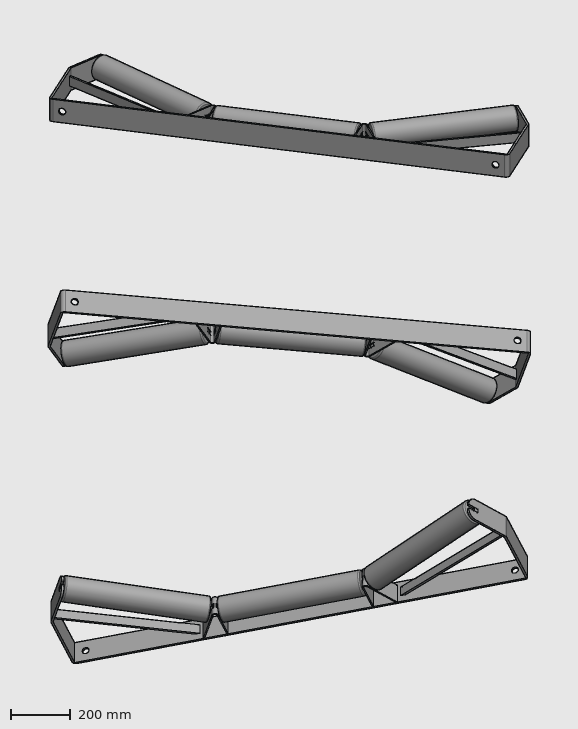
import cadquery as cq
import math

FRAME_LENGTH = 1600.0
STRIP_HEIGHT = 83.0
THICKNESS = 8.0
CORNER_RADIUS = 15.0
BEND_RADIUS = 10.0
BEND_Y = 250.0
TAB_LENGTH = 170.0
TAB_CORNER = 29.0
BOLT_HOLE_DIAMETER = 24.0
BOLT_HOLE_INSET = 46.0

TROUGH_ANGLE = 30.0
ROLLER_DIAMETER = 90.0
ROLLER_LENGTH = 500.0
ROLLER_ROUND = 5.0
TONGUE_HEIGHT = 15.0
TONGUE_WIDTH = 16.0
OUTER_AXIS_ALONG_TAB = 138.0
OUTER_END_GAP = 3.0
CENTRE_AXIS_Y = 100.0

BRACKET_HEIGHT = 70.0
BRACKET_THICKNESS = 5.0
UPRIGHT_X = 253.0
INCLINED_FOOT_X = 340.0
PEAK_RADIUS = 11.0

BRACE_HEIGHT = 35.0
BRACE_WALL_Y = 240.0
BRACE_FOOT_X = 352.0

HALF_LENGTH = FRAME_LENGTH / 2
MID_Z = STRIP_HEIGHT / 2
CENTRE_AXIS_Z = BRACKET_HEIGHT / 2
SIN_TROUGH = math.sin(math.radians(TROUGH_ANGLE))
COS_TROUGH = math.cos(math.radians(TROUGH_ANGLE))

UP_TAB = cq.Vector(SIN_TROUGH, COS_TROUGH)
INWARD = cq.Vector(COS_TROUGH, -SIN_TROUGH)

TAB_BEND = cq.Vector(-HALF_LENGTH, BEND_Y)
TAB_TIP = TAB_BEND + UP_TAB * TAB_LENGTH
INCLINED_FOOT = cq.Vector(-INCLINED_FOOT_X, THICKNESS)

OUTER_TONGUE_END = -(THICKNESS + OUTER_END_GAP)
INNER_TONGUE_END = (INCLINED_FOOT - TAB_BEND).dot(INWARD) + BRACKET_THICKNESS + OUTER_TONGUE_END
CENTRE_END_GAP = UPRIGHT_X - ROLLER_LENGTH / 2
CENTRE_TONGUE = BRACKET_THICKNESS + CENTRE_END_GAP


def mirrored(body):
    """Right-hand copy of a left-hand body."""
    return body.mirror("YZ")


def roller_plane(start, end):
    """Plane at a roller's first end, with local X along the axis and local Y across it in plan."""
    axis = (end - start).normalized()
    across = cq.Vector(0, 0, 1).cross(axis)
    return cq.Plane(origin=start, xDir=axis, normal=axis.cross(across))


def axis_block(plane, first, last, top):
    """Block as high as the tongue, from the tongue's lower side up to `top` across the axis."""
    low = -TONGUE_WIDTH / 2
    return (
        cq.Workplane(plane)
        .workplane(offset=-TONGUE_HEIGHT / 2)
        .moveTo(first, low)
        .lineTo(last, low)
        .lineTo(last, top)
        .lineTo(first, top)
        .close()
        .extrude(TONGUE_HEIGHT)
    )


outer_start = TAB_BEND + UP_TAB * OUTER_AXIS_ALONG_TAB - INWARD * OUTER_TONGUE_END + cq.Vector(0, 0, MID_Z)
outer_end = outer_start + INWARD * ROLLER_LENGTH + cq.Vector(0, 0, CENTRE_AXIS_Z - MID_Z)
outer_plane = roller_plane(outer_start, outer_end)
centre_start = cq.Vector(-ROLLER_LENGTH / 2, CENTRE_AXIS_Y, CENTRE_AXIS_Z)
centre_plane = roller_plane(centre_start, centre_start + cq.Vector(ROLLER_LENGTH, 0, 0))


def make_roller(plane, tongue_first, tongue_last):
    """Roller whose single flat tongue bar runs right through and sticks out at both ends."""
    shell = (
        cq.Workplane(cq.Plane(origin=plane.origin, xDir=plane.yDir, normal=plane.xDir))
        .circle(ROLLER_DIAMETER / 2)
        .extrude(ROLLER_LENGTH)
        .edges("%CIRCLE")
        .fillet(ROLLER_ROUND)
    )
    return shell.union(axis_block(plane, tongue_first, tongue_last, TONGUE_WIDTH / 2))


def cut_slot(body, plane, first, last):
    """Open slot that seats a roller tongue and runs out past the top of the plate."""
    return body.cut(axis_block(plane, first, last, ROLLER_DIAMETER / 2))


def round_edge_near(body, point, radius):
    return body.edges(cq.selectors.NearestToPointSelector(point)).fillet(radius)


def make_frame():
    base = cq.Workplane().box(FRAME_LENGTH, THICKNESS, STRIP_HEIGHT, centered=(True, False, False))
    shift = INWARD * THICKNESS
    inner_bend_y = BEND_Y - THICKNESS * math.tan(math.radians(TROUGH_ANGLE / 2))
    inner_tip = TAB_TIP + shift
    side = (
        cq.Workplane()
        .moveTo(-HALF_LENGTH, 0)
        .lineTo(-HALF_LENGTH, BEND_Y)
        .lineTo(TAB_TIP.x, TAB_TIP.y)
        .lineTo(inner_tip.x, inner_tip.y)
        .lineTo(-HALF_LENGTH + THICKNESS, inner_bend_y)
        .lineTo(-HALF_LENGTH + THICKNESS, 0)
        .close()
        .extrude(STRIP_HEIGHT)
    )
    side = round_edge_near(side, (-HALF_LENGTH, BEND_Y, MID_Z), BEND_RADIUS)
    side = round_edge_near(side, (-HALF_LENGTH + THICKNESS, inner_bend_y, MID_Z), BEND_RADIUS - THICKNESS)
    tip_middle = (TAB_TIP + inner_tip) * 0.5
    for z in (0, STRIP_HEIGHT):
        side = round_edge_near(side, (tip_middle.x, tip_middle.y, z), TAB_CORNER)
    side = cut_slot(side, outer_plane, 2 * OUTER_TONGUE_END, 0)

    frame = base.union(side).union(mirrored(side))
    frame = frame.edges("|Z and <Y").fillet(CORNER_RADIUS)

    hole_x = HALF_LENGTH - BOLT_HOLE_INSET
    holes = (
        cq.Workplane("XZ")
        .pushPoints([(-hole_x, MID_Z), (hole_x, MID_Z)])
        .circle(BOLT_HOLE_DIAMETER / 2)
        .extrude(-THICKNESS)
    )
    return frame.cut(holes)


def bracket_peak(upright_x, foot):
    """Point where an upright face and an inclined face of the bracket would meet."""
    return (-upright_x, foot.y + (-upright_x - foot.x) * COS_TROUGH / SIN_TROUGH)


def bracket_prism(upright_x, foot, radius):
    """Prism between the base, an upright face and an inclined face, with a rounded peak."""
    return (
        cq.Workplane()
        .moveTo(foot.x, foot.y)
        .lineTo(*bracket_peak(upright_x, foot))
        .lineTo(-upright_x, foot.y)
        .close()
        .extrude(BRACKET_HEIGHT)
        .edges("|Z and >Y")
        .fillet(radius)
    )


def make_bracket():
    inner_foot = INCLINED_FOOT + cq.Vector(BRACKET_THICKNESS / COS_TROUGH, 0, 0)
    outer = bracket_prism(UPRIGHT_X, INCLINED_FOOT, PEAK_RADIUS)
    opening = bracket_prism(UPRIGHT_X + BRACKET_THICKNESS, inner_foot, PEAK_RADIUS - BRACKET_THICKNESS)
    bracket = outer.cut(opening)
    bracket = cut_slot(bracket, outer_plane, ROLLER_LENGTH, INNER_TONGUE_END)
    return cut_slot(bracket, centre_plane, -CENTRE_TONGUE, 0)


def make_brace():
    wall_x = -HALF_LENGTH + THICKNESS
    slope = math.atan2(BRACE_WALL_Y - THICKNESS, -BRACE_FOOT_X - wall_x)
    return (
        cq.Workplane(origin=(0, 0, MID_Z - BRACE_HEIGHT / 2))
        .moveTo(wall_x, BRACE_WALL_Y)
        .lineTo(-BRACE_FOOT_X, THICKNESS)
        .lineTo(-BRACE_FOOT_X - THICKNESS / math.sin(slope), THICKNESS)
        .lineTo(wall_x, BRACE_WALL_Y - THICKNESS / math.cos(slope))
        .close()
        .extrude(BRACE_HEIGHT)
    )


frame = make_frame()
bracket = make_bracket()
brace = make_brace()
outer_roller = make_roller(outer_plane, OUTER_TONGUE_END, INNER_TONGUE_END)
centre_roller = make_roller(centre_plane, -CENTRE_TONGUE, ROLLER_LENGTH + CENTRE_TONGUE)

bodies = [frame.solids().val(), centre_roller.solids().val()]
for left_body in (bracket, brace, outer_roller):
    bodies.append(left_body.solids().val())
    bodies.append(mirrored(left_body).solids().val())

result = cq.Compound.makeCompound(bodies)